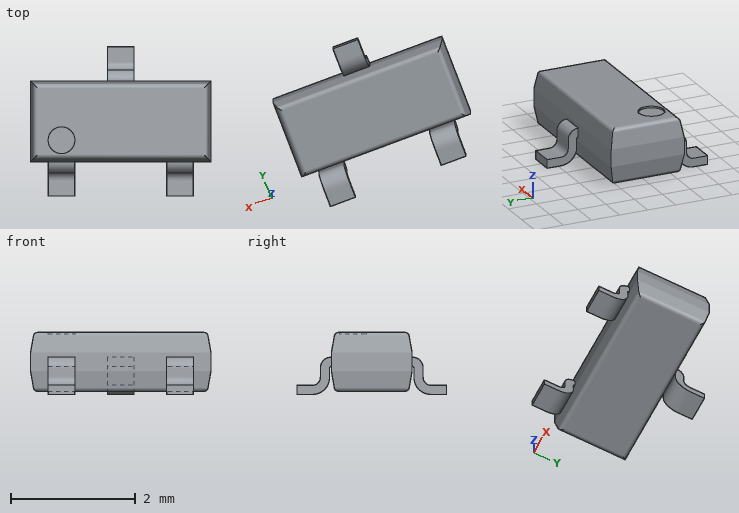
import cadquery as cq
import math

housing_length = 2.9
housing_width = 1.3
overall_height = 1.0
standoff = 0.05
band_height = 0.3
draft_angle = 10.0
edge_radius = 0.072

lead_span = 2.4
lead_width = 0.43
lead_thickness = 0.15
lead_top = 0.603
lead_offset = 0.95
foot_length = 0.25
upper_inner_radius = 0.025

mark_diameter = lead_width
mark_depth = 0.03
mark_from_wall = 0.348

wall_y = housing_width / 2
housing_height = overall_height - standoff
taper_height = (housing_height - band_height) / 2
band_bottom = standoff + taper_height
band_top = band_bottom + band_height


def make_taper(base_z, direction):
    """Half of the housing that narrows away from the band; direction is +1 up or -1 down."""
    return (
        cq.Workplane(cq.Plane(origin=(0, 0, base_z), xDir=(1, 0, 0), normal=(0, 0, direction)))
        .rect(housing_length, housing_width)
        .extrude(taper_height, taper=draft_angle)
    )


def make_housing():
    band = (
        cq.Workplane("XY", origin=(0, 0, band_bottom))
        .rect(housing_length, housing_width)
        .extrude(band_height)
    )
    body = band.union(make_taper(band_top, 1)).union(make_taper(band_bottom, -1))
    body = body.faces(">Z or <Z").edges().fillet(edge_radius)
    mark = (
        cq.Workplane("XY", origin=(-lead_offset, mark_from_wall - wall_y, overall_height))
        .circle(mark_diameter / 2)
        .extrude(-mark_depth)
    )
    return body.cut(mark)


def arc_middle(center_y, center_z, radius, y_sign, z_sign):
    """Middle point of a quarter arc in the quadrant given by the two signs."""
    reach = radius * math.sqrt(0.5)
    return (center_y + y_sign * reach, center_z + z_sign * reach)


def make_lead(center_x):
    """Gull-wing lead on the +Y side, ending flush against the housing wall."""
    tip_y = lead_span / 2
    foot_start = tip_y - foot_length

    upper_outer_radius = upper_inner_radius + lead_thickness
    upper_center_z = lead_top - upper_outer_radius
    inner_face_y = wall_y + upper_inner_radius
    outer_face_y = wall_y + upper_outer_radius

    lower_inner_radius = foot_start - outer_face_y
    lower_outer_radius = lower_inner_radius + lead_thickness
    lower_center_z = lower_outer_radius

    return (
        cq.Workplane("YZ", origin=(center_x - lead_width / 2, 0, 0))
        .moveTo(wall_y, lead_top)
        .threePointArc(
            arc_middle(wall_y, upper_center_z, upper_outer_radius, 1, 1),
            (outer_face_y, upper_center_z),
        )
        .lineTo(outer_face_y, lower_center_z)
        .threePointArc(
            arc_middle(foot_start, lower_center_z, lower_inner_radius, -1, -1),
            (foot_start, lead_thickness),
        )
        .lineTo(tip_y, lead_thickness)
        .lineTo(tip_y, 0)
        .lineTo(foot_start, 0)
        .threePointArc(
            arc_middle(foot_start, lower_center_z, lower_outer_radius, -1, -1),
            (inner_face_y, lower_center_z),
        )
        .lineTo(inner_face_y, upper_center_z)
        .threePointArc(
            arc_middle(wall_y, upper_center_z, upper_inner_radius, 1, 1),
            (wall_y, upper_center_z + upper_inner_radius),
        )
        .close()
        .extrude(lead_width)
    )


housing = make_housing()

leads = []
for center_x, turn in [(0, 0), (lead_offset, 180), (-lead_offset, 180)]:
    lead = make_lead(center_x).rotate((0, 0, 0), (0, 0, 1), turn)
    leads.append(lead.val())

result = cq.Compound.makeCompound([housing.val(), *leads])